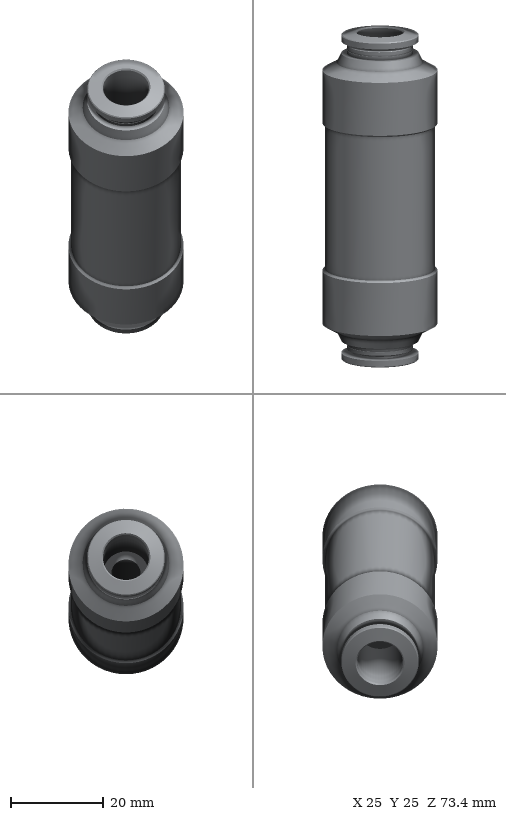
import cadquery as cq

total_length = 73.4
half_length = total_length / 2

barrel_diameter = 23.9
cap_diameter = 25.0
cap_inner_end = 20.7
cap_chamfer_height = 0.4
cap_shoulder_depth = 8.5
taper_break_diameter = 18.8
taper_break_depth = 6.75
cap_face_diameter = 16.8
cap_face_depth = 4.7

collar_diameter = 14.4
collar_top_depth = 2.8
collar_chamfer = 0.1
groove_diameter = 14.0
groove_top_depth = 3.65
groove_width = 0.3

sleeve_diameter = 11.4
flange_diameter = 16.8
flange_bottom_depth = 2.0
flange_root_chamfer = 0.3
flange_rim_depth = 0.5
flange_rim_chamfer = 0.2

mouth_diameter = 10.6
mouth_depth = 0.3
tube_bore_diameter = 10.0
tube_bore_depth = 18.0
through_bore_diameter = 6.4


def cap_steps():
    """(diameter, depth) corners of the outside, from the barrel to the cap face."""
    return [
        (barrel_diameter, cap_inner_end),
        (cap_diameter, cap_inner_end - cap_chamfer_height),
        (cap_diameter, cap_shoulder_depth),
        (taper_break_diameter, taper_break_depth),
        (cap_face_diameter, cap_face_depth),
    ]


def collar_steps():
    """(diameter, depth) corners of the grooved collar, from the cap face outward."""
    groove_bottom_depth = groove_top_depth + groove_width
    return [
        (collar_diameter, cap_face_depth),
        (collar_diameter, groove_bottom_depth),
        (groove_diameter, groove_bottom_depth),
        (groove_diameter, groove_top_depth),
        (collar_diameter, groove_top_depth),
        (collar_diameter, collar_top_depth + collar_chamfer),
        (collar_diameter - 2 * collar_chamfer, collar_top_depth),
    ]


def sleeve_steps():
    """(diameter, depth) corners of the release sleeve, from the collar to the mouth."""
    return [
        (sleeve_diameter, collar_top_depth),
        (sleeve_diameter, flange_bottom_depth + flange_root_chamfer),
        (sleeve_diameter + 2 * flange_root_chamfer, flange_bottom_depth),
        (flange_diameter, flange_bottom_depth),
        (flange_diameter, flange_rim_depth + flange_rim_chamfer),
        (flange_diameter - 2 * flange_rim_chamfer, flange_rim_depth),
        (mouth_diameter, 0),
    ]


def bore_steps():
    """(diameter, depth) corners of the tube socket, from the mouth inward."""
    return [
        (tube_bore_diameter, mouth_depth),
        (tube_bore_diameter, tube_bore_depth),
        (through_bore_diameter, tube_bore_depth),
    ]


def make_fitting():
    """Turn the whole fitting in one piece, with identical ends above and below."""
    end_steps = cap_steps() + collar_steps() + sleeve_steps() + bore_steps()
    upper_end = [(diameter / 2, half_length - depth) for diameter, depth in end_steps]
    lower_end = [(radius, -height) for radius, height in reversed(upper_end)]
    profile = cq.Workplane("XZ").polyline(upper_end + lower_end).close()
    return profile.revolve(360, (0, 0, 0), (0, 1, 0))


result = make_fitting()